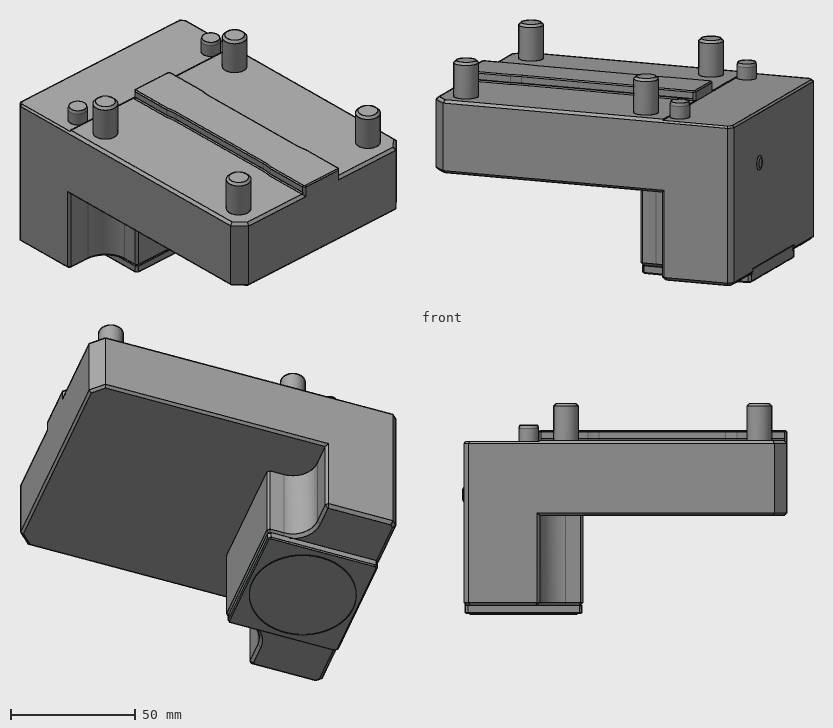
import cadquery as cq
import math

length = 130.5
width = 92.0
button_height = 0.5
body_left = button_height
body_bottom = 3.7
block_top = 69.7
arm_bottom = 40.0
edge_chamfer = 1.0
leg_bottom_chamfer = 1.3
left_corner_chamfer = 2.0
right_corner_chamfer = 5.1

block_right = 31.1
column_right = 48.5
column_width = 50.1
column_fillet = 10.5
leg_overlap = 2.1
leg_top = arm_bottom + leg_overlap

deck_left = 30.7
deck_rise = 0.4
deck_top = block_top + deck_rise
deck_chamfer = 1.2

bar_width = 20.0
bar_top = 74.0
bar_root = block_top - edge_chamfer
bar_top_chamfer = 0.5
bar_corner_chamfer = 0.9
skirt_reach = 0.3
notch_depth = 0.3
notch_bottom = deck_top + skirt_reach + notch_depth
notch_top = notch_bottom + notch_depth
waist_depth = 0.5
waist_radius = 20.0
waist_left = 55.0
waist_right = 105.9

post_diameter = 10.0
post_chamfer = 1.0
post_top = 85.0
post_left = 41.6
post_right = 119.5
post_y = 35.9
stud_diameter = 8.0
stud_tip_diameter = 7.2
stud_tip_length = 1.3
stud_top = 76.2
stud_x = 26.6
stud_y = 37.0

button_diameter = 6.0
button_tip_diameter = 4.0
button_y = 15.8
button_z = 48.3

plate_inset = 0.5
plate_left = body_left + plate_inset
plate_right = column_right - plate_inset
plate_width = 49.1
plate_corner_chamfer = 1.0
plate_edge_chamfer = 0.5
pad_height = 0.4
pad_diameter = 43.1
tongue_width = 45.3
tongue_top = 6.0


def block(x_min, x_max, y_width, z_min, z_max):
    """Box centred on Y between the given X and Z limits."""
    size = (x_max - x_min, y_width, z_max - z_min)
    return cq.Workplane("XY").box(*size, centered=(False, True, False)).translate((x_min, 0, z_min))


def cone_frustum(base_diameter, tip_diameter, height):
    """Tapered round tip standing on the origin along Z."""
    base = cq.Workplane("XY").circle(base_diameter / 2)
    return base.workplane(offset=height).circle(tip_diameter / 2).loft()


def make_arm():
    """Chamfered arm whose top steps down from the deck to the top of the block."""
    arm = block(body_left, length, width, arm_bottom, deck_top)
    arm = arm.edges("|Z and <X").chamfer(left_corner_chamfer)
    arm = arm.edges("|Z and >X").chamfer(right_corner_chamfer)
    arm = arm.faces(">Z").edges().chamfer(deck_chamfer)
    arm = arm.faces("<Z").edges().chamfer(edge_chamfer)
    return arm.cut(block(body_left, deck_left, width, block_top, deck_top))


def make_leg():
    """Front block and column, joined by large fillets in the two inner corners."""
    front_block = block(body_left, block_right, width, body_bottom, leg_top)
    front_block = front_block.edges("|Z and <X").chamfer(left_corner_chamfer)
    front_block = front_block.edges("|Z and >X").chamfer(edge_chamfer)
    column_left = body_left + left_corner_chamfer
    column = block(column_left, column_right, column_width, body_bottom, leg_top)
    column = column.edges("|Z and >X").chamfer(edge_chamfer)
    leg = front_block.union(column)
    middle_z = (body_bottom + leg_top) / 2
    for side in (-1, 1):
        corner = (block_right, side * column_width / 2, middle_z)
        leg = leg.edges(cq.selectors.NearestToPointSelector(corner)).fillet(column_fillet)
    return leg.faces("<Z").edges().chamfer(leg_bottom_chamfer)


def bar_layer(z_min, z_max, inset_min=0.0, inset_max=0.0):
    """Slice of the bar whose long sides slope between the two insets."""
    lower = bar_outline(z_min, inset_min)
    upper = bar_outline(z_max, inset_max)
    return cq.Workplane(cq.Solid.makeLoft([lower, upper], True))


def bar_outline(z, inset):
    """Plan of the bar at height z: both long sides narrow to a waist through wide arcs."""
    outer_y = bar_width / 2 - inset
    flat_y = outer_y - waist_depth
    radius = waist_radius + inset
    arc_angle = math.acos(1 - waist_depth / radius)
    run_out = radius * math.sin(arc_angle)
    mid_run = radius * math.sin(arc_angle / 2)
    mid_y = flat_y + radius * (1 - math.cos(arc_angle / 2))
    outline = (
        cq.Workplane("XY", origin=(0, 0, z))
        .moveTo(deck_left, -outer_y)
        .lineTo(waist_left - run_out, -outer_y)
        .threePointArc((waist_left - mid_run, -mid_y), (waist_left, -flat_y))
        .lineTo(waist_right, -flat_y)
        .threePointArc((waist_right + mid_run, -mid_y), (waist_right + run_out, -outer_y))
        .lineTo(length, -outer_y)
        .lineTo(length, outer_y)
        .lineTo(waist_right + run_out, outer_y)
        .threePointArc((waist_right + mid_run, mid_y), (waist_right, flat_y))
        .lineTo(waist_left, flat_y)
        .threePointArc((waist_left - mid_run, mid_y), (waist_left - run_out, outer_y))
        .lineTo(deck_left, outer_y)
        .close()
    )
    return outline.val()


def make_bar():
    """Guide bar with a chamfered top and, between its corners, a notched foot."""
    chamfer_bottom = bar_top - bar_top_chamfer
    bar = bar_layer(bar_root, chamfer_bottom)
    bar = bar.union(bar_layer(chamfer_bottom, bar_top, inset_max=bar_top_chamfer))
    envelope = block(deck_left, length, bar_width, bar_root, bar_top)
    envelope = envelope.edges("|Z").chamfer(bar_corner_chamfer)
    envelope = envelope.faces(">Z").edges().chamfer(bar_top_chamfer)
    bar = bar.intersect(envelope)
    foot_zone = block(
        deck_left + bar_corner_chamfer, length - bar_corner_chamfer, width, deck_top, notch_top
    )
    skirt = bar_layer(deck_top, notch_bottom, inset_min=-skirt_reach, inset_max=notch_depth)
    overhang = bar_layer(notch_bottom, notch_top, inset_min=notch_depth)
    foot = skirt.union(overhang).intersect(foot_zone)
    return bar.cut(foot_zone).union(foot)


def make_post():
    post = cq.Workplane("XY", origin=(0, 0, block_top)).circle(post_diameter / 2)
    return post.extrude(post_top - block_top).faces(">Z").edges().chamfer(post_chamfer)


def make_stud():
    tip_base = stud_top - stud_tip_length
    shank = cq.Workplane("XY", origin=(0, 0, block_top)).circle(stud_diameter / 2)
    shank = shank.extrude(tip_base - block_top)
    tip = cone_frustum(stud_diameter, stud_tip_diameter, stud_tip_length)
    return shank.union(tip.translate((0, 0, tip_base)))


def make_button():
    """Low cone pointing to -X on the left face."""
    button = cone_frustum(button_diameter, button_tip_diameter, button_height)
    button = button.rotate((0, 0, 0), (0, 1, 0), -90)
    return button.translate((body_left, button_y, button_z))


def make_tongue(x_min, x_max):
    """Slab of the tongue cross-section, used for both its recess and the tongue itself."""
    return block(x_min, x_max, tongue_width, body_bottom, tongue_top)


def make_plate():
    plate = block(plate_left, plate_right, plate_width, pad_height, body_bottom)
    plate = plate.edges("|Z").chamfer(plate_corner_chamfer)
    plate = plate.faces("<Z").edges().chamfer(plate_edge_chamfer)
    plate_middle = (plate_left + plate_right) / 2
    pad = cq.Workplane("XY").center(plate_middle, 0).circle(pad_diameter / 2).extrude(body_bottom)
    return plate.union(pad)


tongue = make_tongue(plate_left, plate_left + leg_bottom_chamfer)
leg = make_leg().cut(make_tongue(body_left, plate_left)).union(tongue)
result = make_arm().union(leg).union(make_plate()).union(make_bar()).union(make_button())

post = make_post()
stud = make_stud()
for side in (-1, 1):
    for post_x in (post_left, post_right):
        result = result.union(post.translate((post_x, side * post_y, 0)))
    result = result.union(stud.translate((stud_x, side * stud_y, 0)))